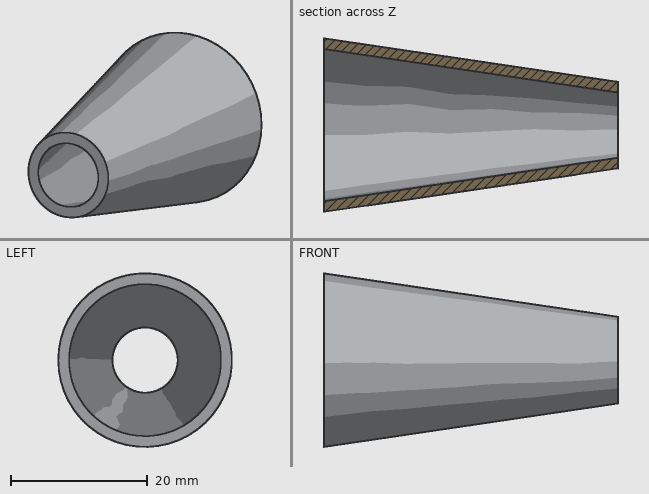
import cadquery as cq

length = 43.0
wide_diameter = 25.4
narrow_diameter = 12.7
wall = 1.6

wide_radius = wide_diameter / 2
narrow_radius = narrow_diameter / 2

wall_section = (
    cq.Workplane("XY")
    .moveTo(0, wide_radius - wall)
    .lineTo(0, wide_radius)
    .lineTo(length, narrow_radius)
    .lineTo(length, narrow_radius - wall)
    .close()
)
result = wall_section.revolve(360, (0, 0, 0), (1, 0, 0))